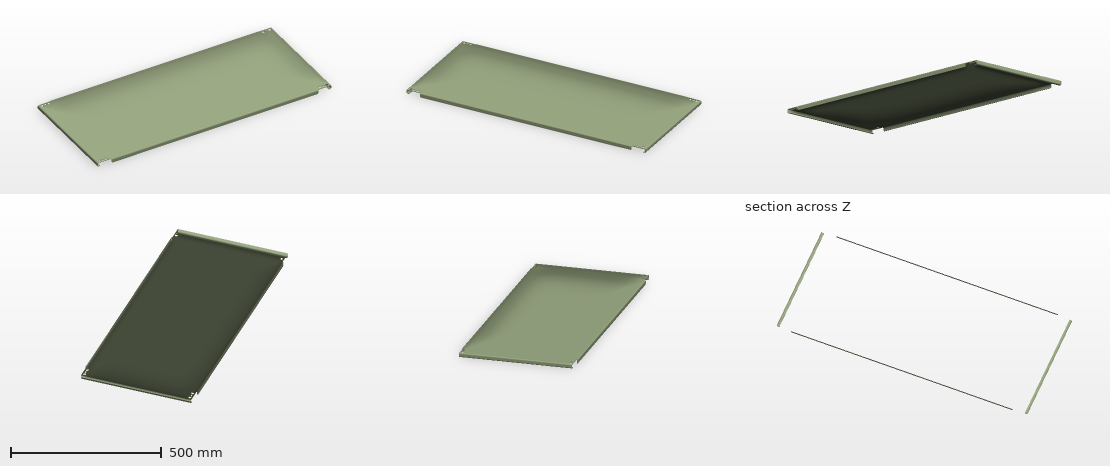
import cadquery as cq

width = 399.0
length = 900.0
height = 15.0

sheet = 2.0
bend_inner = 2.0
bend_outer = bend_inner + sheet

plate_width = width - 2 * bend_outer
plate_length = length - 2 * bend_outer

side_flange_length = 796.0
side_corner_chamfer = 3.0

lip_depth = 10.0

square_inset_x = 12.5
round_inset_x = 11.5
hole_group_y = 25.0
square_pitch = 25.0
square_size = 9.0
round_diameter = 7.0


def flat_plate():
    """Flat top sheet between the bends."""
    plate = cq.Workplane("XY").box(plate_width, plate_length, sheet, centered=(True, True, False))
    return plate.translate((0, 0, height - sheet))


def bent_section(plane, edge, has_lip):
    """Profile of a flange bent down at the outer face `edge`, optionally returned inward as a lip."""
    bend_start = edge - bend_outer
    inner_face = edge - sheet
    profile = (
        cq.Workplane(plane)
        .moveTo(bend_start, height)
        .radiusArc((edge, height - bend_outer), bend_outer)
    )
    if has_lip:
        lip_tip = edge - lip_depth
        profile = (
            profile.lineTo(edge, bend_outer)
            .radiusArc((bend_start, 0), bend_outer)
            .lineTo(lip_tip, 0)
            .lineTo(lip_tip, sheet)
            .lineTo(bend_start, sheet)
            .radiusArc((inner_face, bend_outer), -bend_inner)
        )
    else:
        profile = profile.lineTo(edge, 0).lineTo(inner_face, 0)
    return (
        profile.lineTo(inner_face, height - bend_outer)
        .radiusArc((bend_start, height - sheet), -bend_inner)
        .close()
    )


def end_flange():
    """Channel along the +Y short edge: bend, vertical wall and return lip."""
    return bent_section("YZ", length / 2, True).extrude(plate_width / 2, both=True)


def side_flange():
    """Plain wall along the +X long edge with chamfered lower corners."""
    flange = bent_section("XZ", width / 2, False).extrude(side_flange_length / 2, both=True)
    return flange.edges(">Y or <Y").edges("|X").edges("<Z").chamfer(side_corner_chamfer)


def corner_cuts(side_x, side_y):
    """Two square holes with a round hole between them at one corner of the plate."""
    square_x = side_x * (width / 2 - square_inset_x)
    round_x = side_x * (width / 2 - round_inset_x)
    group_y = side_y * (length / 2 - hole_group_y)
    base = cq.Workplane("XY").workplane(offset=height - sheet)
    squares = (
        base.pushPoints([(square_x, group_y + offset * square_pitch / 2) for offset in (-1, 1)])
        .rect(square_size, square_size)
        .extrude(sheet)
    )
    round_hole = base.center(round_x, group_y).circle(round_diameter / 2).extrude(sheet)
    return squares.union(round_hole)


result = flat_plate()
for flange, mirror_plane in ((end_flange(), "XZ"), (side_flange(), "YZ")):
    result = result.union(flange).union(flange.mirror(mirror_plane))
for side_x in (-1, 1):
    for side_y in (-1, 1):
        result = result.cut(corner_cuts(side_x, side_y))